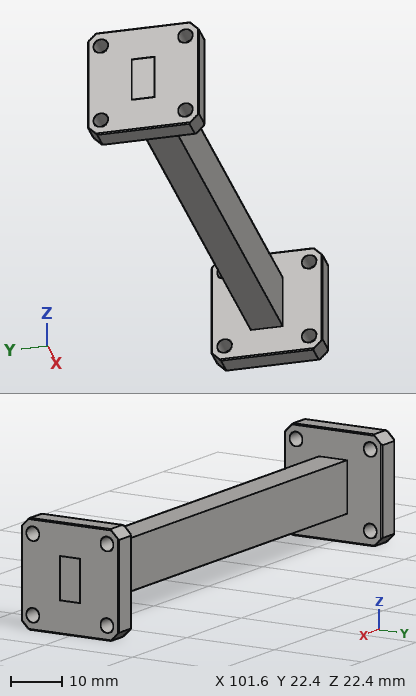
import cadquery as cq
LENGTH = 101.6
FLANGE_SIZE = 22.4
FLANGE_THICKNESS = 4.8
CORNER_CHAMFER = 1.9
EDGE_CHAMFER = 0.25

TUBE_WIDTH = 6.4
TUBE_HEIGHT = 10.7

HOLE_DIAMETER = 2.9
HOLE_PITCH_Y = 17.0
HOLE_PITCH_Z = 16.3

WINDOW_WIDTH = 4.6
WINDOW_HEIGHT = 8.8
WINDOW_DEPTH = 0.2


def make_flange(center_x):
    """Square flange with cut corners, broken edges and four through holes."""
    plate = (
        cq.Workplane("YZ", origin=(center_x, 0, 0))
        .box(FLANGE_SIZE, FLANGE_SIZE, FLANGE_THICKNESS)
        .faces("<X or >X")
        .edges()
        .chamfer(EDGE_CHAMFER)
    )
    corner_to_corner = 2 * (FLANGE_SIZE - CORNER_CHAMFER)
    corner_trim = (
        cq.Workplane("YZ", origin=(center_x, 0, 0))
        .polygon(4, corner_to_corner)
        .extrude(FLANGE_THICKNESS, both=True)
    )
    body = plate.intersect(corner_trim)
    holes = (
        cq.Workplane("YZ", origin=(center_x, 0, 0))
        .rarray(HOLE_PITCH_Y, HOLE_PITCH_Z, 2, 2)
        .circle(HOLE_DIAMETER / 2)
        .extrude(FLANGE_THICKNESS, both=True)
    )
    return body.cut(holes)


flange_center = (LENGTH - FLANGE_THICKNESS) / 2
result = cq.Workplane("XY").box(2 * flange_center, TUBE_WIDTH, TUBE_HEIGHT)

for side in (-1, 1):
    window = cq.Workplane("XY", origin=(side * LENGTH / 2, 0, 0)).box(
        2 * WINDOW_DEPTH, WINDOW_WIDTH, WINDOW_HEIGHT
    )
    result = result.union(make_flange(side * flange_center)).cut(window)